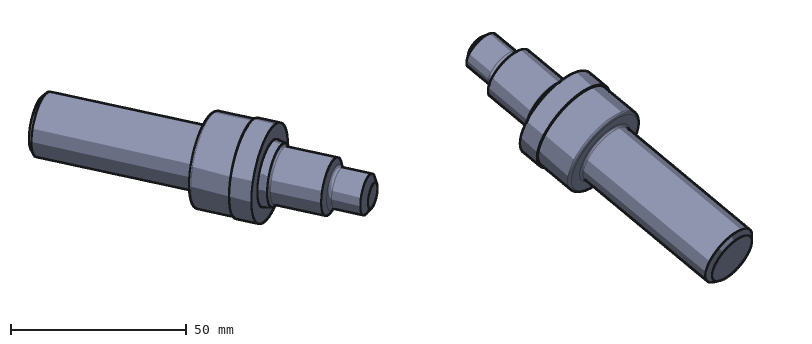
import cadquery as cq
import math

length = 101.6
collar_start = 50.8
flange_start = 63.4
flange_end = 70.2
shoulder_end = 72.9
neck_start = 73.7
neck_end = 89.1
middle = length / 2

shank_radius = 9.5
collar_radius = 14.3
flange_diameter = 29.6
flange_radius = flange_diameter / 2
neck_radius = 8.5
pilot_radius = 6.1

shank_chamfer_length = 1.3
shank_chamfer_depth = 1.4
collar_fillet = 0.8
shank_fillet = 0.7
shoulder_base_radius = 10.0
shoulder_tip_radius = 9.3
neck_step_radius = 0.9
neck_cone_angle = math.radians(60)
pilot_fillet = 1.4
pilot_fillet_length = pilot_fillet * math.sin(neck_cone_angle)
pilot_fillet_height = pilot_fillet * (1 - math.cos(neck_cone_angle))
neck_cone_depth = neck_radius - pilot_radius - pilot_fillet_height
neck_cone_length = neck_cone_depth / math.tan(neck_cone_angle)
pilot_start = neck_end + neck_cone_length + pilot_fillet_length
pilot_chamfer_length = 1.5
pilot_chamfer_depth = 2.2

profile = (
    cq.Workplane("XY")
    .moveTo(0, 0)
    .lineTo(0, shank_radius - shank_chamfer_depth)
    .lineTo(shank_chamfer_length, shank_radius)
    .lineTo(collar_start - shank_fillet, shank_radius)
    .radiusArc((collar_start, shank_radius + shank_fillet), -shank_fillet)
    .lineTo(collar_start, collar_radius - collar_fillet)
    .radiusArc((collar_start + collar_fillet, collar_radius), collar_fillet)
    .lineTo(flange_start, collar_radius)
    .lineTo(flange_start, flange_radius)
    .lineTo(flange_end, flange_radius)
    .lineTo(flange_end, shoulder_base_radius)
    .lineTo(shoulder_end, shoulder_tip_radius)
    .radiusArc((neck_start, neck_radius), -neck_step_radius)
    .lineTo(neck_end, neck_radius)
    .lineTo(neck_end + neck_cone_length, neck_radius - neck_cone_depth)
    .radiusArc((pilot_start, pilot_radius), -pilot_fillet)
    .lineTo(length - pilot_chamfer_length, pilot_radius)
    .lineTo(length, pilot_radius - pilot_chamfer_depth)
    .lineTo(length, 0)
    .close()
)

full_turn = 360
result = profile.revolve(full_turn, (0, 0), (1, 0)).translate((-middle, 0, 0))